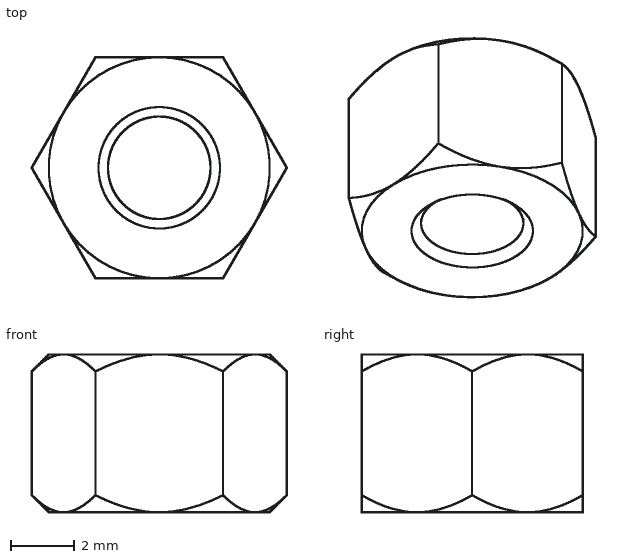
import cadquery as cq
import math

across_corners = 8.08
height = 5.0
bore_diameter = 3.24
countersink_diameter = 3.85

across_flats = across_corners * math.cos(math.radians(30))
corner_bevel = (across_corners - across_flats) / 2
countersink_depth = (countersink_diameter - bore_diameter) / 2


def hexagonal_prism():
    """Hexagon with two corners on the X axis, standing on the XY plane."""
    return cq.Workplane("XY").polygon(6, across_corners).extrude(height)


def beveled_envelope():
    """Cylinder through the corners, with 45 degree bevels reaching the flats at each end."""
    cylinder = cq.Workplane("XY").circle(across_corners / 2).extrude(height)
    return cylinder.edges("%CIRCLE").chamfer(corner_bevel)


def countersunk_bore():
    """Through bore with a 45 degree countersink at both ends, as a solid to cut away."""
    bore_radius = bore_diameter / 2
    countersink_radius = countersink_diameter / 2
    profile = (
        cq.Workplane("XZ")
        .lineTo(countersink_radius, 0)
        .lineTo(bore_radius, countersink_depth)
        .lineTo(bore_radius, height - countersink_depth)
        .lineTo(countersink_radius, height)
        .lineTo(0, height)
        .close()
    )
    return profile.revolve(360, (0, 0, 0), (0, 1, 0))


result = hexagonal_prism().intersect(beveled_envelope()).cut(countersunk_bore())